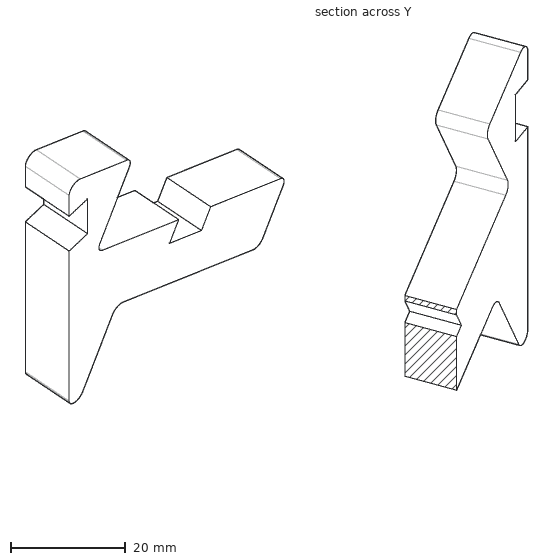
import math

import cadquery as cq

THICKNESS = 10.0
UPRIGHT_ANGLE = 90.0
SLOPE_ANGLE = 29.92
BACK_HEIGHT = 70.0
HEAD_LENGTH = 20.0
HEAD_DEPTH = 20.0
ARM_WIDTH = 15.0
ARM_LENGTH = 59.64
CORNER_RADIUS = 2.0

NOTCH_WIDTH = 10.0
NOTCH_DEPTH = 5.0
ARM_NOTCH_TO_TIP = 23.85
BACK_NOTCH_TO_TOP = 9.44

slope = math.radians(SLOPE_ANGLE)


def from_top_corner(along, below):
    """(Y, Z) of a point given along the slope and square below it, from the top back corner."""
    y = along * math.cos(slope) - below * math.sin(slope)
    z = BACK_HEIGHT - along * math.sin(slope) - below * math.cos(slope)
    return (y, z)


def make_body():
    arm_top = HEAD_DEPTH
    arm_bottom = HEAD_DEPTH + ARM_WIDTH
    arm_tip = HEAD_LENGTH + ARM_LENGTH
    foot_face = BACK_HEIGHT * math.sin(slope)
    outline = [
        (0, BACK_HEIGHT),
        from_top_corner(HEAD_LENGTH, 0),
        from_top_corner(HEAD_LENGTH, arm_top),
        from_top_corner(arm_tip, arm_top),
        from_top_corner(arm_tip, arm_bottom),
        from_top_corner(foot_face, arm_bottom),
        (0, 0),
    ]
    plate = cq.Workplane("YZ").polyline(outline).close().extrude(THICKNESS / 2, both=True)
    return plate.edges("|X").fillet(CORNER_RADIUS)


def make_notch_cutter():
    """Block centred on the origin that reaches one notch depth to either side of an edge."""
    return cq.Workplane("XY").box(THICKNESS, 2 * NOTCH_DEPTH, NOTCH_WIDTH)


def make_back_notch():
    middle = BACK_HEIGHT - BACK_NOTCH_TO_TOP - NOTCH_WIDTH / 2
    return make_notch_cutter().translate((0, 0, middle))


def make_arm_notch():
    middle = HEAD_LENGTH + ARM_LENGTH - ARM_NOTCH_TO_TIP - NOTCH_WIDTH / 2
    y, z = from_top_corner(middle, HEAD_DEPTH)
    tilted = make_notch_cutter().rotate((0, 0, 0), (1, 0, 0), UPRIGHT_ANGLE - SLOPE_ANGLE)
    return tilted.translate((0, y, z))


result = make_body().cut(make_back_notch()).cut(make_arm_notch())